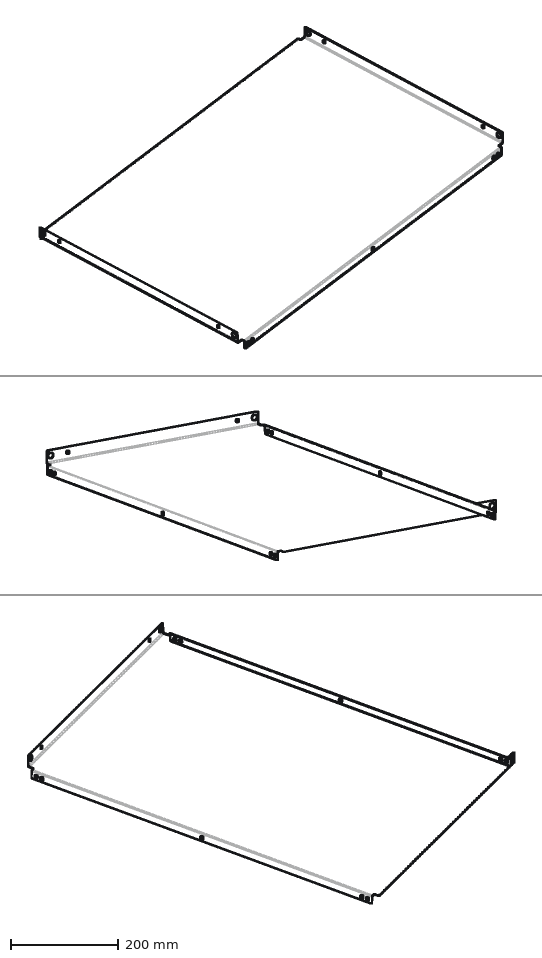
import cadquery as cq

WIDTH = 498.0
LENGTH = 769.0
HEIGHT = 43.0

SHEET = 1.85
BEND_INNER_RADIUS = 1.4
BEND_OUTER_RADIUS = BEND_INNER_RADIUS + SHEET
CORNER_RADIUS = 3.0

SIDE_FLANGE_HEIGHT = 19.0
END_FLANGE_HEIGHT = HEIGHT - SIDE_FLANGE_HEIGHT + SHEET
CORNER_GAP_X = 8.0
CORNER_GAP_Y = 12.0
SIDE_FLANGE_LENGTH = LENGTH - 2 * CORNER_GAP_Y
END_FLANGE_LENGTH = WIDTH - 2 * CORNER_GAP_X

FLANGE_TOP = END_FLANGE_HEIGHT
FLANGE_BOTTOM = SHEET - SIDE_FLANGE_HEIGHT

END_LARGE_DIAMETER = 11.5
END_LARGE_INSET = 8.5
END_SMALL_DIAMETER = 6.0
END_SMALL_INSET = 48.0
END_HOLE_DROP = 11.0

SIDE_HOLE_DIAMETER = 7.0
SIDE_HOLE_INSETS = (10.0, 22.0)
SIDE_HOLE_RISE = 8.0


def bent_sheet(plane, span, flange_height, length):
    """Channel with its web on the plane's local X axis and both flanges along local +Y."""
    half = span / 2
    inner_half = half - SHEET
    profile = (
        cq.Workplane(plane)
        .moveTo(-half, flange_height)
        .lineTo(-half, BEND_OUTER_RADIUS)
        .radiusArc((-half + BEND_OUTER_RADIUS, 0), -BEND_OUTER_RADIUS)
        .lineTo(half - BEND_OUTER_RADIUS, 0)
        .radiusArc((half, BEND_OUTER_RADIUS), -BEND_OUTER_RADIUS)
        .lineTo(half, flange_height)
        .lineTo(inner_half, flange_height)
        .lineTo(inner_half, BEND_OUTER_RADIUS)
        .radiusArc((half - BEND_OUTER_RADIUS, SHEET), BEND_INNER_RADIUS)
        .lineTo(-half + BEND_OUTER_RADIUS, SHEET)
        .radiusArc((-inner_half, BEND_OUTER_RADIUS), BEND_INNER_RADIUS)
        .close()
    )
    return profile.extrude(length / 2, both=True)


def rounded_outline(plane, flange_length, flange_height, depth):
    """Block around both flanges, mirrored about the web, whose rounded corners trim the free flange corners."""
    block = cq.Workplane(plane).rect(flange_length, 2 * flange_height).extrude(depth / 2, both=True)
    return block.edges(cq.selectors.ParallelDirSelector(plane.zDir)).fillet(CORNER_RADIUS)


def hole_cutters(plane, points, diameter, through):
    """Round cutters centred on the plane, long enough to pierce both opposite flanges."""
    return cq.Workplane(plane).pushPoints(points).circle(diameter / 2).extrude(through / 2, both=True)


def mirrored_points(offset, height):
    """Two points at the same height, on either side of the centre line."""
    return [(-offset, height), (offset, height)]


end_channel = bent_sheet("YZ", LENGTH, END_FLANGE_HEIGHT, END_FLANGE_LENGTH)
end_facing = cq.Plane.named("XZ")
end_channel = end_channel.intersect(
    rounded_outline(end_facing, END_FLANGE_LENGTH, END_FLANGE_HEIGHT, LENGTH)
)
end_hole_height = FLANGE_TOP - END_HOLE_DROP
for diameter, inset in (
    (END_LARGE_DIAMETER, END_LARGE_INSET),
    (END_SMALL_DIAMETER, END_SMALL_INSET),
):
    points = mirrored_points(END_FLANGE_LENGTH / 2 - inset, end_hole_height)
    end_channel = end_channel.cut(hole_cutters("XZ", points, diameter, LENGTH))

downward = cq.Plane(origin=(0, 0, SHEET), xDir=(1, 0, 0), normal=(0, 1, 0))
side_channel = bent_sheet(downward, WIDTH, SIDE_FLANGE_HEIGHT, SIDE_FLANGE_LENGTH)
side_facing = cq.Plane.named("YZ")
side_facing.origin = cq.Vector(0, 0, SHEET)
side_channel = side_channel.intersect(
    rounded_outline(side_facing, SIDE_FLANGE_LENGTH, SIDE_FLANGE_HEIGHT, WIDTH)
)
side_hole_height = FLANGE_BOTTOM + SIDE_HOLE_RISE
side_points = [(0, side_hole_height)]
for inset in SIDE_HOLE_INSETS:
    side_points += mirrored_points(SIDE_FLANGE_LENGTH / 2 - inset, side_hole_height)
side_channel = side_channel.cut(hole_cutters("YZ", side_points, SIDE_HOLE_DIAMETER, WIDTH))

result = end_channel.union(side_channel).clean()